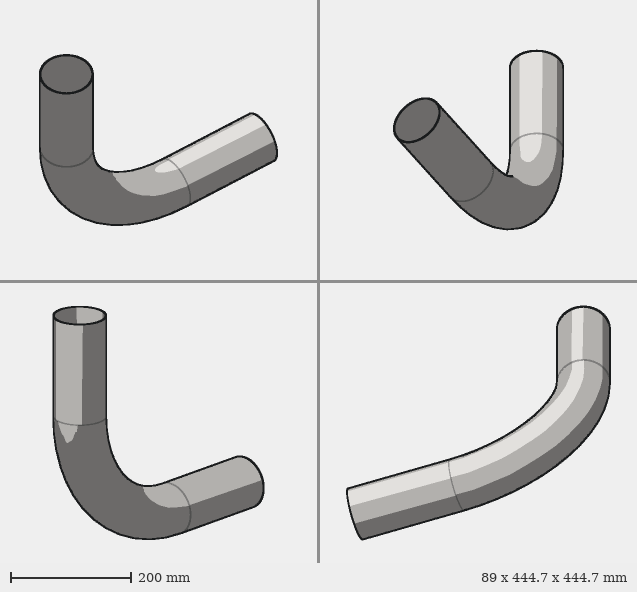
import cadquery as cq

outer_diameter = 89.0
wall = 1.5
bend_radius = 222.2
straight_length = 178.0

outer_radius = outer_diameter / 2
inner_radius = outer_radius - wall


def ring(plane):
    """Tube cross-section centred on the given plane."""
    return cq.Workplane(plane).circle(outer_radius).circle(inner_radius)


upright_base = (0, -bend_radius, bend_radius)

horizontal_leg = ring(cq.Plane(origin=(0, 0, 0), xDir=(1, 0, 0), normal=(0, 1, 0))).extrude(straight_length)

upright_leg = ring(cq.Plane(origin=upright_base)).extrude(straight_length)

elbow_section = ring(cq.Plane(origin=(0, 0, 0), xDir=(1, 0, 0), normal=(0, -1, 0)))
elbow = elbow_section.revolve(90, (0, bend_radius), (-1, bend_radius))

result = horizontal_leg.union(elbow).union(upright_leg)